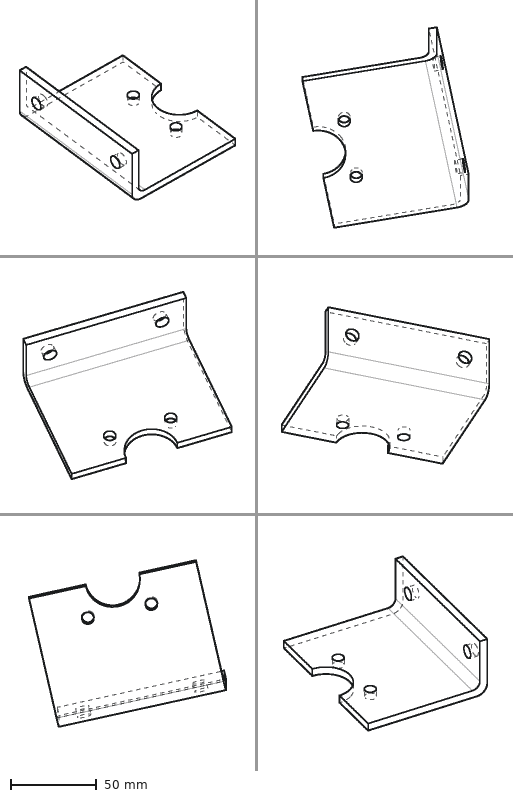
import cadquery as cq

width = 100.0
depth = 80.0
height = 38.0
thickness = 5.0
inner_bend_radius = 5.0
outer_bend_radius = 7.0

notch_radius = 16.0

base_hole_diameter = 7.0
base_hole_spacing = 38.0
base_hole_setback = 19.0

flange_hole_diameter = 8.0
flange_hole_spacing = 70.0
flange_hole_height = 22.0


def bent_plate():
    """L-section along X, with the flange at the front and its outer corner at Y = Z = 0."""
    section = (
        cq.Workplane("YZ")
        .polyline([
            (0, 0),
            (depth, 0),
            (depth, thickness),
            (thickness, thickness),
            (thickness, height),
            (0, height),
        ])
        .close()
    )
    plate = section.extrude(width / 2, both=True)
    inner_corner = cq.selectors.NearestToPointSelector((0, thickness, thickness))
    outer_corner = cq.selectors.NearestToPointSelector((0, 0, 0))
    plate = plate.edges(inner_corner).fillet(inner_bend_radius)
    return plate.edges(outer_corner).fillet(outer_bend_radius)


def base_cutter(x, y, radius):
    """Vertical cylinder that passes through the base."""
    return cq.Workplane("XY").center(x, y).circle(radius).extrude(thickness)


def flange_cutter(x, z, radius):
    """Cylinder along Y that passes through the flange."""
    return cq.Workplane("XZ").center(x, z).circle(radius).extrude(-thickness)


result = bent_plate().cut(base_cutter(0, depth, notch_radius))
for side in (-1, 1):
    base_hole_x = side * base_hole_spacing / 2
    flange_hole_x = side * flange_hole_spacing / 2
    result = result.cut(base_cutter(base_hole_x, depth - base_hole_setback, base_hole_diameter / 2))
    result = result.cut(flange_cutter(flange_hole_x, flange_hole_height, flange_hole_diameter / 2))